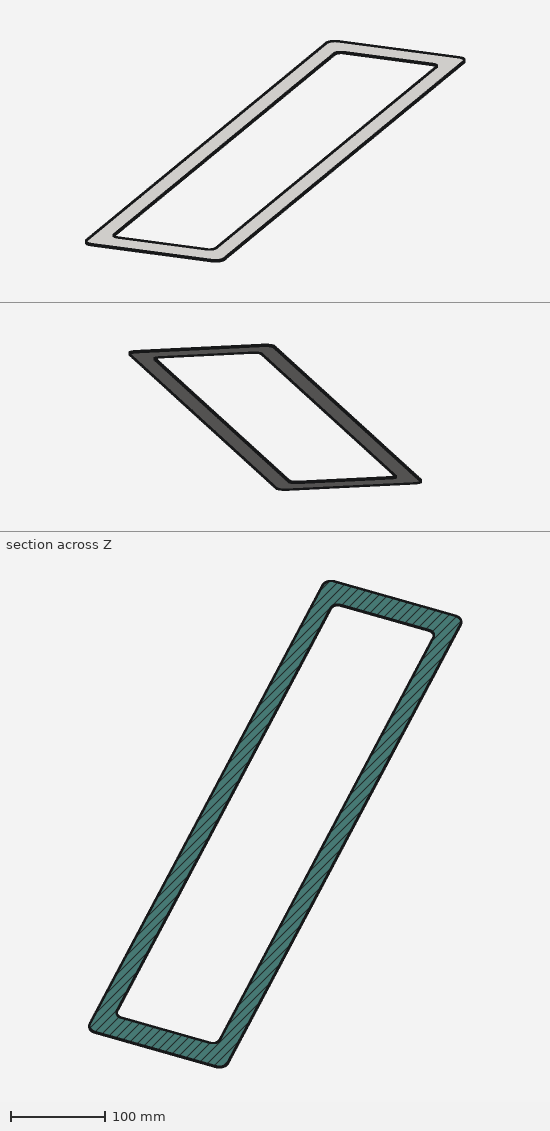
import cadquery as cq

width = 157.0
length = 702.0
thickness = 1.5
outer_corner_radius = 10.0

side_border = 20.5
end_border = 30.0
window_corner_radius = 8.0
window_width = width - 2 * side_border
window_length = length - 2 * end_border


def rounded_plate(size_x, size_y, corner_radius):
    """Flat plate centred on the origin with rounded vertical edges."""
    plate = cq.Workplane("XY").box(size_x, size_y, thickness)
    return plate.edges("|Z").fillet(corner_radius)


outer_plate = rounded_plate(width, length, outer_corner_radius)
window = rounded_plate(window_width, window_length, window_corner_radius)

result = outer_plate.cut(window)